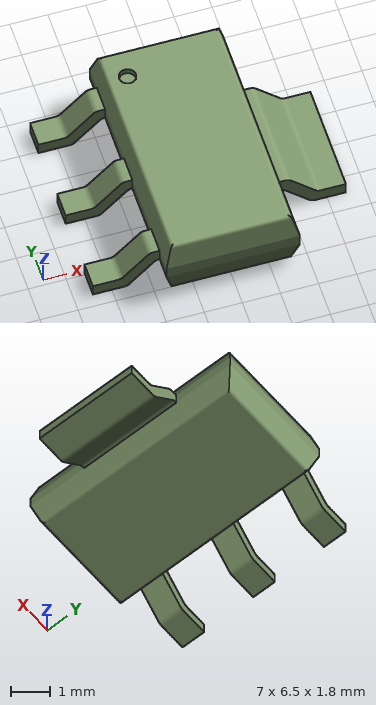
import cadquery as cq
import math

SPAN = 7.0
TOTAL_HEIGHT = 1.8

BODY_WIDTH = 3.5
BODY_LENGTH = 6.5
STANDOFF = 0.05
DRAFT_ANGLE = 15.0
BODY_EDGE_RADIUS = 0.1

MARK_DIAMETER = 0.44
MARK_DEPTH = 0.17
MARK_FROM_SIDE = 0.7
MARK_FROM_END = 0.945

SHEET = 0.36
LEAD_TOP = 1.15
BEND_ANGLE = 46.0
BEND_RADIUS = 0.2
FOOT_LENGTH = 0.74
PIN_WIDTH = 0.71
PIN_PITCH = 2.3
PIN_COUNT = 3
TAB_WIDTH = 3.0

BAND_BOTTOM = LEAD_TOP - SHEET


def make_body():
    """Block with an upright middle band, drafted above and below, and a pin 1 dimple."""
    band = cq.Workplane("XY").workplane(offset=BAND_BOTTOM).rect(BODY_WIDTH, BODY_LENGTH).extrude(SHEET)
    upper = (
        cq.Workplane("XY")
        .workplane(offset=LEAD_TOP)
        .rect(BODY_WIDTH, BODY_LENGTH)
        .extrude(TOTAL_HEIGHT - LEAD_TOP, taper=DRAFT_ANGLE)
    )
    lower = (
        cq.Workplane("XY")
        .workplane(offset=BAND_BOTTOM)
        .rect(BODY_WIDTH, BODY_LENGTH)
        .extrude(STANDOFF - BAND_BOTTOM, taper=DRAFT_ANGLE)
    )
    block = band.union(upper).union(lower)
    block = block.faces("<Z or >Z").edges().fillet(BODY_EDGE_RADIUS)
    mark = (
        cq.Workplane("XY")
        .workplane(offset=TOTAL_HEIGHT - MARK_DEPTH)
        .center(MARK_FROM_SIDE - BODY_WIDTH / 2, BODY_LENGTH / 2 - MARK_FROM_END)
        .circle(MARK_DIAMETER / 2)
        .extrude(MARK_DEPTH)
    )
    return block.cut(mark)


def make_lead(width):
    """Gull-wing lead on the -X side, centred on Y = 0, ending flush against the body."""
    tip = -SPAN / 2
    body_side = -BODY_WIDTH / 2
    run = BAND_BOTTOM / math.tan(math.radians(BEND_ANGLE))
    corner_shift = SHEET * math.tan(math.radians(BEND_ANGLE / 2))
    upper_bend = tip + FOOT_LENGTH
    lower_bend = upper_bend + corner_shift
    outline = [
        (tip, 0),
        (lower_bend, 0),
        (lower_bend + run, BAND_BOTTOM),
        (body_side, BAND_BOTTOM),
        (body_side, LEAD_TOP),
        (upper_bend + run, LEAD_TOP),
        (upper_bend, SHEET),
        (tip, SHEET),
    ]
    lead = cq.Workplane("XZ").polyline(outline).close().extrude(width / 2, both=True)
    bend_edges = lead.edges("|Y").edges(
        cq.selectors.BoxSelector(
            ((tip + upper_bend) / 2, -width, -SHEET),
            ((lower_bend + run + body_side) / 2, width, TOTAL_HEIGHT),
        )
    )
    return bend_edges.fillet(BEND_RADIUS)


body = make_body()

pins = []
for index in range(PIN_COUNT):
    pin_y = (index - (PIN_COUNT - 1) / 2) * PIN_PITCH
    pins.append(make_lead(PIN_WIDTH).translate((0, pin_y, 0)).val())

tab = make_lead(TAB_WIDTH).mirror("YZ")

result = cq.Compound.makeCompound([body.val(), *pins, tab.val()])